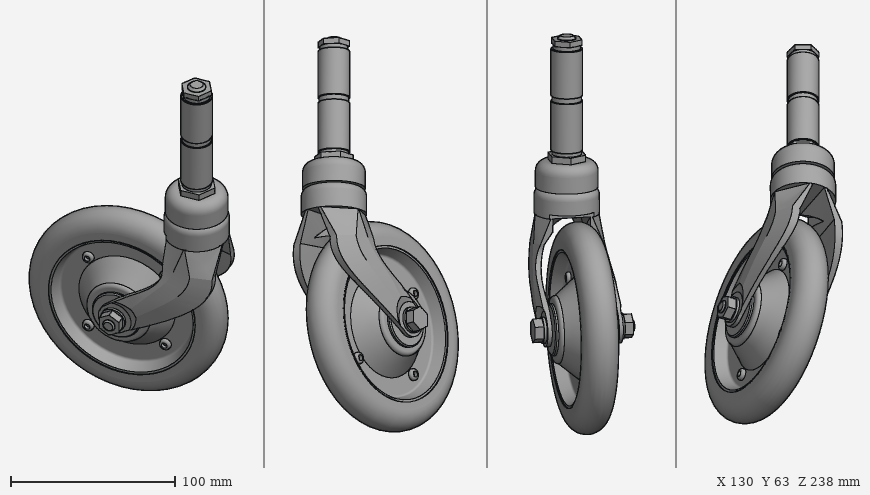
import cadquery as cq
import math


wheel_radius = 65.0
tyre_half_width = 11.0
tread_centre_radius = wheel_radius - tyre_half_width
rim_lip_radius = 48.5
rim_lip_depth = 0.7
rim_wall_radius = 47.0
web_half_thickness = 2.2
rim_wall_base_radius = 44.5
rim_wall_base_y = 3.2
web_edge_radius = 43.0
cone_base_radius = 32.0
cone_top_radius = 20.9
cone_top_y = 15.5
hub_face_radius = 18.6
hub_face_y = 18.0
seal_radius = 16.0
seal_chamfer = 0.8
hub_half_length = 20.0
rivet_spacing = 51.0
rivet_radius = 3.7
rivet_hole_radius = 1.8
rivet_height = 2.5
rivet_rounding = 1.6

axle_radius = 4.0
axle_head_end = 30.8
axle_tip_end = -32.2
axle_tip_chamfer = 1.0
nut_end = -30.7
axle_hex_flats = 13.0
washer_radius = 8.0
washer_thickness = 1.7

boss_radius = 10.2
boss_inner_y = 20.8
boss_outer_y = 23.5
relief_radius = 11.5
relief_rim_radius = 17.3
relief_depth = 2.4
clearance_radius = 69.0
clearance_half_width = 11.8
collar_radius = 20.0
collar_bottom = 64.5
skirt_bottom = 61.7
crown_front_x = 30.5
collar_top = 78.0
collar_fillet = 5.0

stem_x = 45.0
stem_top = 173.0
cap_radius = 19.2
cap_top = 94.6
cap_fillet = 6.5
base_hex_flats = 21.0
base_hex_top = 98.7
neck_radius = 9.1
sleeve_radius = 9.75
sleeve_chamfer = 0.4
lower_sleeve_bottom = 100.8
lower_sleeve_top = 132.3
upper_sleeve_bottom = 135.2
upper_sleeve_top = 165.0
top_washer_radius = 8.5
top_nut_bottom = 167.5
top_nut_top = 171.0
top_hex_flats = 17.0
stud_radius = 5.6
stud_chamfer = 1.6


def disc_y(radius, y_from, y_to, x=0.0, z=0.0):
    """Cylinder along Y between two Y positions."""
    start = cq.Vector(x, y_from, z)
    return cq.Workplane(cq.Solid.makeCylinder(radius, y_to - y_from, start, cq.Vector(0, 1, 0)))


def disc_z(radius, z_from, z_to):
    """Cylinder on the stem axis between two heights."""
    return cq.Workplane("XY", origin=(stem_x, 0, z_from)).circle(radius).extrude(z_to - z_from)


def across_corners(flats):
    return flats / math.cos(math.pi / 6)


def hex_z(flats, z_from, z_to):
    """Hexagon on the stem axis with corners along X."""
    base = cq.Workplane("XY", origin=(stem_x, 0, z_from))
    return base.polygon(6, across_corners(flats)).extrude(z_to - z_from)


def hex_y(flats, y_from, y_to):
    """Hexagon on the axle with corners along Z."""
    base = cq.Workplane("XZ", origin=(0, y_from, 0)).transformed(rotate=(0, 0, 90))
    return base.polygon(6, across_corners(flats)).extrude(y_from - y_to)


def make_rivet(x, z):
    """Rounded rivet head with a hollow centre, standing on the +Y face of the web."""
    rivet_top = web_half_thickness + rivet_height
    head = disc_y(rivet_radius, web_half_thickness, rivet_top, x, z)
    head = head.faces(">Y").edges().fillet(rivet_rounding)
    return head.cut(disc_y(rivet_hole_radius, web_half_thickness, rivet_top, x, z))


def make_wheel():
    """Tyre, dished rim and conical hub as one revolved body with four hollow rivets per side."""
    half = (
        cq.Workplane("XY")
        .moveTo(axle_radius, 0)
        .lineTo(axle_radius, hub_half_length)
        .lineTo(seal_radius - seal_chamfer, hub_half_length)
        .lineTo(seal_radius, hub_half_length - seal_chamfer)
        .lineTo(seal_radius, hub_face_y)
        .lineTo(hub_face_radius, hub_face_y)
        .tangentArcPoint((cone_top_radius, cone_top_y), relative=False)
        .lineTo(cone_base_radius, web_half_thickness)
        .lineTo(web_edge_radius, web_half_thickness)
        .tangentArcPoint((rim_wall_base_radius, rim_wall_base_y), relative=False)
        .lineTo(rim_wall_radius, tyre_half_width - rim_lip_depth)
        .lineTo(rim_lip_radius, tyre_half_width - rim_lip_depth)
        .lineTo(rim_lip_radius, tyre_half_width)
        .lineTo(tread_centre_radius, tyre_half_width)
        .lineTo(tread_centre_radius, 0)
        .close()
        .revolve(360, (0, 0, 0), (0, 1, 0))
    )
    tread = (
        cq.Workplane("XY")
        .moveTo(tread_centre_radius, -tyre_half_width)
        .threePointArc((wheel_radius, 0), (tread_centre_radius, tyre_half_width))
        .close()
        .revolve(360, (0, 0, 0), (0, 1, 0))
    )
    wheel = half.union(half.mirror("XZ")).union(tread)
    for x_side in (-1, 1):
        for z_side in (-1, 1):
            rivet = make_rivet(x_side * rivet_spacing / 2, z_side * rivet_spacing / 2)
            wheel = wheel.union(rivet).union(rivet.mirror("XZ"))
    return wheel


def make_axle():
    """Bolt with its hexagon head, nut and washers as one body."""
    washer_outer_y = boss_outer_y + washer_thickness
    shank = disc_y(axle_radius, axle_tip_end, washer_outer_y).faces("<Y").chamfer(axle_tip_chamfer)
    axle = shank.union(hex_y(axle_hex_flats, washer_outer_y, axle_head_end))
    axle = axle.union(hex_y(axle_hex_flats, nut_end, -washer_outer_y))
    for start in (boss_outer_y, -washer_outer_y):
        axle = axle.union(disc_y(washer_radius, start, start + washer_thickness))
    return axle


def leg_section(lead, trail, ridges, inner, outer, ridge_y):
    """Closed six-sided section of a leg.

    lead, trail: (x, z) of the front and rear edges.
    ridges: positions of the two outer ridges, as fractions from the front to the rear edge.
    inner, outer: Y of the inner and outer faces, each as (front edge, rear edge).
    ridge_y: Y of the ridges.
    """

    def point(fraction, y):
        x = lead[0] + fraction * (trail[0] - lead[0])
        z = lead[1] + fraction * (trail[1] - lead[1])
        return cq.Vector(x, y, z)

    corners = [
        point(0, inner[0]),
        point(0, outer[0]),
        point(ridges[0], ridge_y),
        point(ridges[1], ridge_y),
        point(1, outer[1]),
        point(1, inner[1]),
    ]
    return cq.Wire.makePolygon(corners, close=True)


def make_leg():
    """The +Y leg: a bowed arm from the collar down to the axle boss."""
    foot_ridges = (0.35, 0.62)
    foot_inner = (boss_inner_y, boss_inner_y)
    foot_outer = (24.2, 24.0)
    foot_ridge_y = 25.8

    crown_top = leg_section(
        lead=(crown_front_x, skirt_bottom),
        trail=(64.3, skirt_bottom),
        ridges=(0.42, 0.44),
        inner=(6.0, 4.0),
        outer=(13.0, 6.0),
        ridge_y=19.8,
    )
    arm_top = leg_section(
        lead=(crown_front_x, 46.0),
        trail=(62.4, 42.0),
        ridges=(0.26, 0.60),
        inner=(17.0, 12.0),
        outer=(19.5, 17.3),
        ridge_y=22.0,
    )
    arm_bend = leg_section(
        lead=(28.0, 34.0),
        trail=(58.5, 27.0),
        ridges=(0.12, 0.52),
        inner=(19.5, 14.5),
        outer=(23.0, 19.5),
        ridge_y=24.0,
    )
    arm_middle = leg_section(
        lead=(19.4, 26.2),
        trail=(47.3, 16.2),
        ridges=(0.15, 0.52),
        inner=(boss_inner_y, 18.0),
        outer=(24.0, 22.0),
        ridge_y=25.4,
    )
    arm_foot = leg_section(
        lead=(6.0, 17.5),
        trail=(24.0, 2.0),
        ridges=foot_ridges,
        inner=foot_inner,
        outer=foot_outer,
        ridge_y=foot_ridge_y,
    )
    arm_end = leg_section(
        lead=(-6.0, 8.2),
        trail=(4.0, -9.0),
        ridges=foot_ridges,
        inner=foot_inner,
        outer=foot_outer,
        ridge_y=foot_ridge_y,
    )
    crown = cq.Workplane(cq.Solid.makeLoft([crown_top, arm_top], True))
    leg = crown.union(cq.Workplane(cq.Solid.makeLoft([arm_top, arm_bend, arm_middle, arm_foot, arm_end])))
    relief = cq.Solid.makeCone(
        relief_radius,
        relief_rim_radius,
        relief_depth,
        cq.Vector(0, boss_outer_y, 0),
        cq.Vector(0, 1, 0),
    )
    return leg.cut(cq.Workplane(relief)).union(disc_y(boss_radius, boss_inner_y, boss_outer_y))


def make_fork():
    """Swivel collar with two legs, cleared for the wheel and bored for the axle."""
    fork = disc_z(collar_radius, collar_bottom, collar_top).faces(">Z").edges().fillet(collar_fillet)
    skirt = disc_z(collar_radius, skirt_bottom, collar_bottom)
    front_trim = cq.Workplane("XY").box(
        2 * collar_radius, 2 * collar_radius, 2 * collar_bottom
    ).translate((crown_front_x - collar_radius, 0, collar_bottom))
    fork = fork.union(skirt.cut(front_trim))
    leg = make_leg()
    fork = fork.union(leg).union(leg.mirror("XZ"))
    fork = fork.cut(disc_y(clearance_radius, -clearance_half_width, clearance_half_width))
    return fork.cut(disc_y(axle_radius, -boss_outer_y, boss_outer_y))


def make_sleeve(bottom, top):
    return disc_z(sleeve_radius, bottom, top).edges().chamfer(sleeve_chamfer)


def make_stem():
    """Domed cap, hexagon, two sleeves on a neck, and a nut on a stud at the top."""
    stem = disc_z(cap_radius, collar_top, cap_top).faces(">Z").edges().fillet(cap_fillet)
    stem = stem.union(hex_z(base_hex_flats, cap_top, base_hex_top))
    stem = stem.union(disc_z(neck_radius, base_hex_top, upper_sleeve_bottom))
    stem = stem.union(make_sleeve(lower_sleeve_bottom, lower_sleeve_top))
    stem = stem.union(make_sleeve(upper_sleeve_bottom, upper_sleeve_top))
    stem = stem.union(disc_z(top_washer_radius, upper_sleeve_top, top_nut_bottom))
    stem = stem.union(hex_z(top_hex_flats, top_nut_bottom, top_nut_top))
    stud = disc_z(stud_radius, top_nut_top, stem_top).faces(">Z").chamfer(stud_chamfer)
    return stem.union(stud)


wheel = make_wheel()
axle = make_axle()
fork = make_fork()
stem = make_stem()

result = cq.Compound.makeCompound(
    [wheel.solids().val(), axle.solids().val(), fork.solids().val(), stem.solids().val()]
)